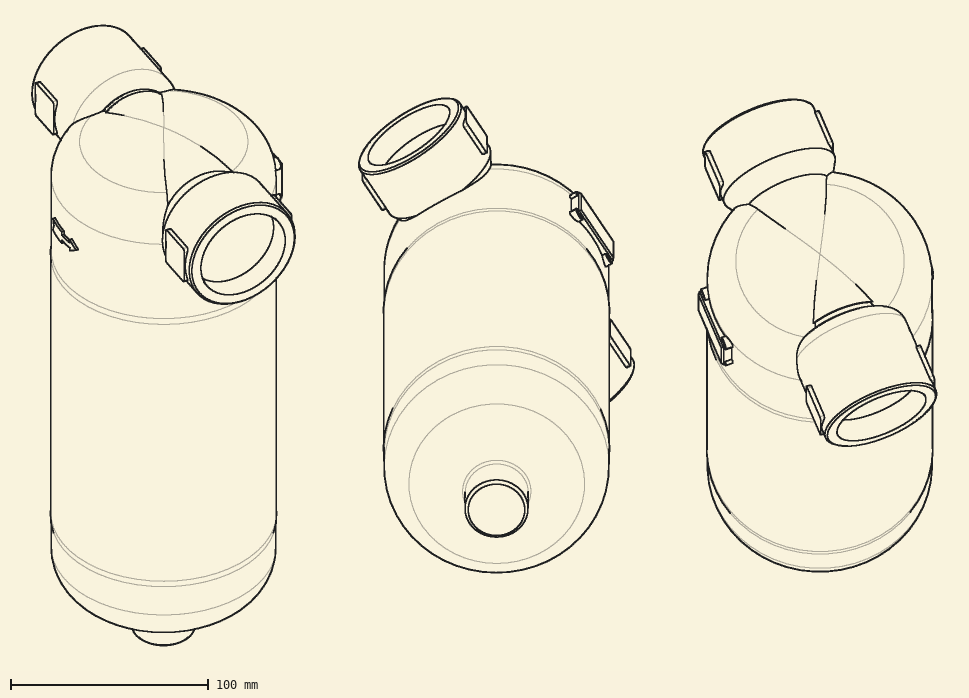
import cadquery as cq
import math

TOTAL_HEIGHT = 325.5
PORT_SPAN = 170.0

SHELL_DIAMETER = 114.3
CAP_DIAMETER = 114.0
TOP_CROWN_RADIUS = 105.0
TOP_KNUCKLE_RADIUS = 24.0
TOP_APEX_Z = 319.0
BOTTOM_CROWN_RADIUS = 98.3
BOTTOM_KNUCKLE_RADIUS = 22.8
BOTTOM_APEX_Z = 21.0
WELD_BEAD_DIAMETER = 114.5
WELD_WIDTH = 3.5
UPPER_WELD_Z = 239.0
LOWER_WELD_Z = 72.0

NOZZLE_DIAMETER = 32.0
NOZZLE_CHAMFER = 1.5
NOZZLE_FILLET = 1.5
NOZZLE_ROOT_Z = 35.8

PORT_DIAMETER = 61.0
PORT_BORE_DIAMETER = 48.5
PORT_BORE_DEPTH = 12.5
PORT_EDGE_CHAMFER = 1.0
INLET_END_X = -42.5
INLET_ROUND_RADIUS = 7.8
THROAT_END_X = -32.0
THROAT_STEP = 0.5
OUTLET_END_X = 55.3
OUTLET_CONE_END_X = 44.0

PAD_LENGTH = 20.2
PAD_HEIGHT = 20.8
PAD_CORNER_RADIUS = 1.5
PAD_END_GAP = 5.2
PAD_FACE_Y = 31.0

PLATE_WIDTH = 33.2
PLATE_HEIGHT = 21.5
PLATE_CENTER_Z = 274.7
PLATE_FACE_Y = 60.0
PLATE_CHAMFER = 1.0
RIVET_DIAMETER = 6.5
RIVET_FACE_Y = 58.0
RIVET_SPACING_X = 28.5
RIVET_SPACING_Z = 20.2

ARROW_CENTER_Z = 269.5
ARROW_RELIEF = 1.3
ARROW_LENGTH = 24.7
ARROW_HALF_WIDTH = 3.5
ARROW_NOTCH = 1.5
ARROW_TAIL_LENGTH = 12.0
ARROW_HEAD_LENGTH = 5.2
ARROW_STEM_HALF_WIDTH = 1.5

PORT_RADIUS = PORT_DIAMETER / 2
PORT_AXIS_Z = TOTAL_HEIGHT - PORT_RADIUS
NECK_RADIUS = TOP_APEX_Z - PORT_AXIS_Z
SHELL_RADIUS = SHELL_DIAMETER / 2
CAP_RADIUS = CAP_DIAMETER / 2

ROOT_RADIUS = 48.8


def torispherical_points(crown_radius, knuckle_radius):
    """Points (radius, distance from the apex) along a head, from crown to cylinder.

    They are the crown middle, the crown edge, the knuckle middle and the knuckle edge.
    """
    knuckle_center_r = CAP_RADIUS - knuckle_radius
    center_distance = crown_radius - knuckle_radius
    edge_angle = math.asin(knuckle_center_r / center_distance)
    knuckle_center_drop = crown_radius - center_distance * math.cos(edge_angle)

    def crown_point(angle):
        return crown_radius * math.sin(angle), crown_radius * (1 - math.cos(angle))

    def knuckle_point(angle):
        return (
            knuckle_center_r + knuckle_radius * math.sin(angle),
            knuckle_center_drop - knuckle_radius * math.cos(angle),
        )

    return (
        crown_point(edge_angle / 2),
        crown_point(edge_angle),
        knuckle_point((edge_angle + math.pi / 2) / 2),
        knuckle_point(math.pi / 2),
    )


def make_vessel():
    """Cylinder with a torispherical head at each end and two low weld beads."""
    half_weld = WELD_WIDTH / 2
    bead_radius = WELD_BEAD_DIAMETER / 2
    bottom = [
        (r, BOTTOM_APEX_Z + drop)
        for r, drop in torispherical_points(BOTTOM_CROWN_RADIUS, BOTTOM_KNUCKLE_RADIUS)
    ]
    top = [
        (r, TOP_APEX_Z - drop)
        for r, drop in torispherical_points(TOP_CROWN_RADIUS, TOP_KNUCKLE_RADIUS)
    ]
    profile = (
        cq.Workplane("XZ")
        .moveTo(0, BOTTOM_APEX_Z)
        .threePointArc(bottom[0], bottom[1])
        .threePointArc(bottom[2], bottom[3])
        .lineTo(CAP_RADIUS, LOWER_WELD_Z - half_weld)
        .threePointArc((bead_radius, LOWER_WELD_Z), (SHELL_RADIUS, LOWER_WELD_Z + half_weld))
        .lineTo(SHELL_RADIUS, UPPER_WELD_Z - half_weld)
        .threePointArc((bead_radius, UPPER_WELD_Z), (CAP_RADIUS, UPPER_WELD_Z + half_weld))
        .lineTo(*top[3])
        .threePointArc(top[2], top[1])
        .threePointArc(top[0], (0, TOP_APEX_Z))
        .close()
    )
    return profile.revolve(360, (0, 0), (0, 1))


def make_nozzle():
    """Drain stub reaching into the bottom head, chamfered at its free end."""
    nozzle = cq.Workplane("XY").circle(NOZZLE_DIAMETER / 2).extrude(NOZZLE_ROOT_Z)
    return nozzle.faces("<Z").chamfer(NOZZLE_CHAMFER)


def make_vessel_with_nozzle():
    """Vessel with the drain stub joined to the bottom head by a small fillet."""
    body = make_vessel().union(make_nozzle())
    return body.edges("%BSPLINE").fillet(NOZZLE_FILLET)


def make_ports():
    """Inlet, neck and outlet revolved about the common port axis."""
    end_x = PORT_SPAN / 2
    edge_r = PORT_RADIUS - PORT_EDGE_CHAMFER
    round_end_x = INLET_END_X + INLET_ROUND_RADIUS
    round_center_r = PORT_RADIUS - INLET_ROUND_RADIUS
    throat_r = NECK_RADIUS - THROAT_STEP
    round_mid = INLET_ROUND_RADIUS * math.sqrt(0.5)
    profile = (
        cq.Workplane("XZ", origin=(0, 0, PORT_AXIS_Z))
        .moveTo(-end_x, 0)
        .lineTo(-end_x, edge_r)
        .lineTo(-end_x + PORT_EDGE_CHAMFER, PORT_RADIUS)
        .lineTo(INLET_END_X, PORT_RADIUS)
        .threePointArc(
            (INLET_END_X + round_mid, round_center_r + round_mid),
            (round_end_x, round_center_r),
        )
        .lineTo(round_end_x, throat_r)
        .lineTo(THROAT_END_X, throat_r)
        .lineTo(THROAT_END_X, NECK_RADIUS)
        .lineTo(OUTLET_CONE_END_X, NECK_RADIUS)
        .lineTo(OUTLET_END_X, PORT_RADIUS)
        .lineTo(end_x - PORT_EDGE_CHAMFER, PORT_RADIUS)
        .lineTo(end_x, edge_r)
        .lineTo(end_x, 0)
        .close()
    )
    return profile.revolve(360, (0, 0), (1, 0))


def make_port_bore(side):
    """Blind bore entering the port end on the given X side."""
    return (
        cq.Workplane("YZ", origin=(side * PORT_SPAN / 2, 0, PORT_AXIS_Z))
        .circle(PORT_BORE_DIAMETER / 2)
        .extrude(-side * PORT_BORE_DEPTH)
    )


def make_pad_pair(side):
    """Flat pads on both Y sides of the port, standing on its cylinder."""
    center_x = side * (PORT_SPAN / 2 - PAD_END_GAP - PAD_LENGTH / 2)
    pads = (
        cq.Workplane("XY")
        .box(PAD_LENGTH, 2 * PAD_FACE_Y, PAD_HEIGHT)
        .edges("|Y")
        .fillet(PAD_CORNER_RADIUS)
    )
    return pads.translate((center_x, 0, PORT_AXIS_Z))


def make_name_plate():
    """Chamfered plate block with four corner rivets beside the body."""
    plate = (
        cq.Workplane("XZ", origin=(0, PLATE_FACE_Y, PLATE_CENTER_Z))
        .rect(PLATE_WIDTH, PLATE_HEIGHT)
        .extrude(PLATE_FACE_Y - ROOT_RADIUS)
        .faces(">Y")
        .chamfer(PLATE_CHAMFER)
    )
    rivets = (
        cq.Workplane("XZ", origin=(0, RIVET_FACE_Y, PLATE_CENTER_Z))
        .rect(RIVET_SPACING_X, RIVET_SPACING_Z, forConstruction=True)
        .vertices()
        .circle(RIVET_DIAMETER / 2)
        .extrude(RIVET_FACE_Y - ROOT_RADIUS)
    )
    return plate.union(rivets)


def make_flow_arrow():
    """Arrow raised from the upper cap, following its round surface."""
    tail_x = -ARROW_LENGTH / 2
    tip_x = ARROW_LENGTH / 2
    stem_start_x = tail_x + ARROW_TAIL_LENGTH
    head_x = tip_x - ARROW_HEAD_LENGTH
    outline = (
        cq.Workplane("XZ", origin=(0, 0, ARROW_CENTER_Z))
        .moveTo(tail_x + ARROW_NOTCH, 0)
        .lineTo(tail_x, ARROW_HALF_WIDTH)
        .lineTo(stem_start_x, ARROW_HALF_WIDTH)
        .lineTo(stem_start_x, ARROW_STEM_HALF_WIDTH)
        .lineTo(head_x, ARROW_STEM_HALF_WIDTH)
        .lineTo(head_x, ARROW_HALF_WIDTH)
        .lineTo(tip_x, 0)
        .lineTo(head_x, -ARROW_HALF_WIDTH)
        .lineTo(head_x, -ARROW_STEM_HALF_WIDTH)
        .lineTo(stem_start_x, -ARROW_STEM_HALF_WIDTH)
        .lineTo(stem_start_x, -ARROW_HALF_WIDTH)
        .lineTo(tail_x, -ARROW_HALF_WIDTH)
        .close()
    )
    raised_cylinder = (
        cq.Workplane("XY", origin=(0, 0, ARROW_CENTER_Z - ARROW_LENGTH / 2))
        .circle(CAP_RADIUS + ARROW_RELIEF)
        .circle(ROOT_RADIUS)
        .extrude(ARROW_LENGTH)
    )
    return outline.extrude(CAP_DIAMETER).intersect(raised_cylinder)


result = make_vessel_with_nozzle().union(make_ports())
for side in (-1, 1):
    result = result.union(make_pad_pair(side)).cut(make_port_bore(side))
result = result.union(make_name_plate()).union(make_flow_arrow())